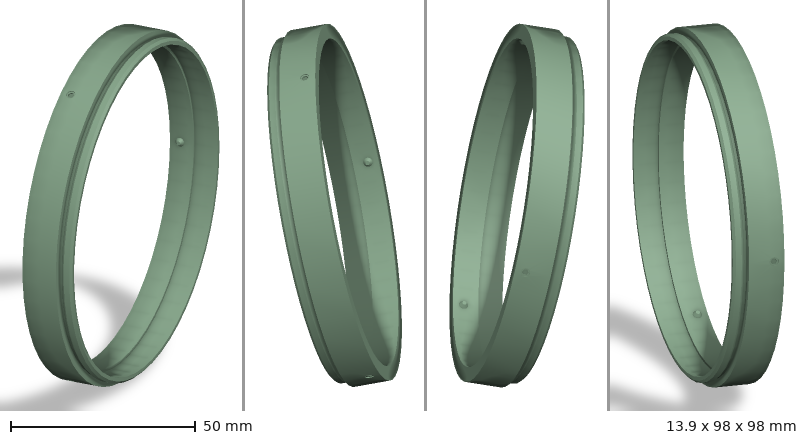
import cadquery as cq
import math

length = 13.9
flange_diameter = 98.0
flange_length = 10.0
groove_diameter = 93.6
rim_diameter = 95.0
rim_rear_bevel_length = (rim_diameter - groove_diameter) / 2
rim_front_bevel_length = 0.9
groove_length = 0.7

bore_diameter = 90.0
rear_bore_diameter = 91.5
front_bore_length = 7.1

screw_count = 3
screw_x = 2.9
screw_diameter = 2.5
screw_recess = 0.3
tip_flat_diameter = 1.2
tip_length = 1.0
tip_reach = 1.0
socket_across_flats = 1.6
socket_depth = 0.4


def make_ring():
    """Flange, groove and bevelled rim around a two-step bore."""
    flange_radius = flange_diameter / 2
    groove_radius = groove_diameter / 2
    rim_radius = rim_diameter / 2
    groove_end = flange_length + groove_length
    profile = [
        (0, bore_diameter / 2),
        (0, flange_radius),
        (flange_length, flange_radius),
        (flange_length, groove_radius),
        (groove_end, groove_radius),
        (groove_end + rim_front_bevel_length, rim_radius),
        (length - rim_rear_bevel_length, rim_radius),
        (length, groove_radius),
        (length, rear_bore_diameter / 2),
        (front_bore_length, rear_bore_diameter / 2),
        (front_bore_length, bore_diameter / 2),
    ]
    return cq.Workplane("XY").polyline(profile).close().revolve(360, (0, 0, 0), (1, 0, 0))


def radial_plane(radius, angle):
    """Plane facing outward at the given radius; the angle runs from +Y toward +Z."""
    direction = (0, math.cos(angle), math.sin(angle))
    origin = (screw_x, radius * direction[1], radius * direction[2])
    return cq.Workplane(cq.Plane(origin=origin, xDir=(1, 0, 0), normal=direction))


def add_screw(body, angle):
    """Screw set below the flange surface, its point standing out into the bore."""
    tip_radius = bore_diameter / 2 - tip_reach
    shank_start = tip_radius + tip_length
    head_radius = flange_diameter / 2 - screw_recess
    socket_diameter = socket_across_flats / math.cos(math.pi / 6)

    hole = radial_plane(head_radius, angle).circle(screw_diameter / 2).extrude(2 * screw_recess)
    socket = radial_plane(head_radius, angle).polygon(6, socket_diameter).extrude(-socket_depth)
    shank = radial_plane(shank_start, angle).circle(screw_diameter / 2).extrude(head_radius - shank_start)
    point = (
        radial_plane(tip_radius, angle)
        .circle(tip_flat_diameter / 2)
        .workplane(offset=tip_length)
        .circle(screw_diameter / 2)
        .loft()
    )
    return body.union(shank).union(point).cut(hole).cut(socket)


result = make_ring()
for index in range(screw_count):
    result = add_screw(result, index * 2 * math.pi / screw_count)